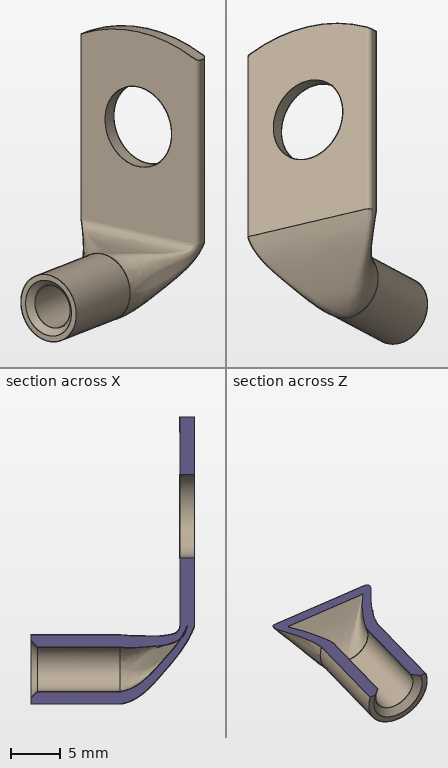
import cadquery as cq
import math


total_height = 28.95
total_depth = 16.5

tongue_width = 15.0
tongue_thickness = 1.5
tongue_edge_radius = 0.5
tongue_bottom = 4.35
tongue_shoulder = 23.73
stud_hole_diameter = 8.4
stud_hole_height = 15.43

barrel_diameter = 7.0
barrel_length = 9.0
bore_diameter = 4.45
mouth_chamfer = 0.67

barrel_radius = barrel_diameter / 2
bore_radius = bore_diameter / 2
barrel_start = barrel_length - total_depth
tongue_top = total_height - barrel_radius
barrel_wall = barrel_radius - bore_radius

slit_gap = 0.05
pressed_wall = (tongue_thickness - slit_gap) / 2
seam_flat = 0.03

tongue_rear = (0, tongue_bottom)
tongue_front = (-tongue_thickness, tongue_bottom)
barrel_underside = (barrel_start, -barrel_radius)
barrel_crown = (barrel_start, barrel_radius)

transition_sections = [
    (tongue_rear, tongue_front, tongue_width / 2, tongue_edge_radius, pressed_wall),
    ((-1.07, 2.3), (-2.0, 3.65), 6.9, 0.58, 0.78),
    ((-2.65, 0.23), (-3.47, 3.4), 5.65, 1.0, 1.0),
    ((-4.63, -1.95), (-5.35, 3.4), 4.28, 1.97, 1.15),
    (barrel_underside, barrel_crown, barrel_radius, barrel_radius, barrel_wall),
]


def section_wire(lower, upper, half_width, corner_radius, inset):
    """Rounded rectangle spanning lower to upper, shrunk by inset on every side."""
    rise_y = upper[0] - lower[0]
    rise_z = upper[1] - lower[1]
    height = math.hypot(rise_y, rise_z) - 2 * inset
    width = 2 * (half_width - inset)
    largest_radius = (min(width, height) - seam_flat) / 2
    smallest_radius = slit_gap / 4
    radius = min(max(corner_radius - inset, smallest_radius), largest_radius)
    plane = cq.Plane(
        origin=(0, (lower[0] + upper[0]) / 2, (lower[1] + upper[1]) / 2),
        xDir=(1, 0, 0),
        normal=(0, -rise_z, rise_y),
    )
    outline = cq.Sketch().rect(width, height).vertices().fillet(radius)
    return outline.moved(plane.location).val().Faces()[0].outerWire()


def make_tongue():
    half_width = tongue_width / 2
    blank = (
        cq.Workplane("XZ")
        .moveTo(-half_width, tongue_bottom)
        .lineTo(half_width, tongue_bottom)
        .lineTo(half_width, tongue_shoulder)
        .threePointArc((0, tongue_top), (-half_width, tongue_shoulder))
        .close()
        .extrude(tongue_thickness)
        .edges("|Z")
        .fillet(tongue_edge_radius)
    )
    stud_hole = (
        cq.Workplane("XZ")
        .center(0, stud_hole_height)
        .circle(stud_hole_diameter / 2)
        .extrude(tongue_thickness)
    )
    return blank.cut(stud_hole)


def make_transition():
    outer_wires = []
    cavity_wires = []
    for lower, upper, half_width, corner_radius, wall in transition_sections:
        outer_wires.append(section_wire(lower, upper, half_width, corner_radius, 0))
        cavity_wires.append(section_wire(lower, upper, half_width, corner_radius, wall))
    outer = cq.Workplane(cq.Solid.makeLoft(outer_wires))
    cavity = cq.Workplane(cq.Solid.makeLoft(cavity_wires))
    return outer.cut(cavity)


def make_barrel():
    tube = (
        cq.Workplane("XZ", origin=(0, barrel_start, 0))
        .circle(barrel_radius)
        .circle(bore_radius)
        .extrude(barrel_length)
    )
    mouth_edge = cq.selectors.RadiusNthSelector(0)
    return tube.faces("<Y").edges(mouth_edge).chamfer(mouth_chamfer)


result = make_tongue().union(make_transition()).union(make_barrel())